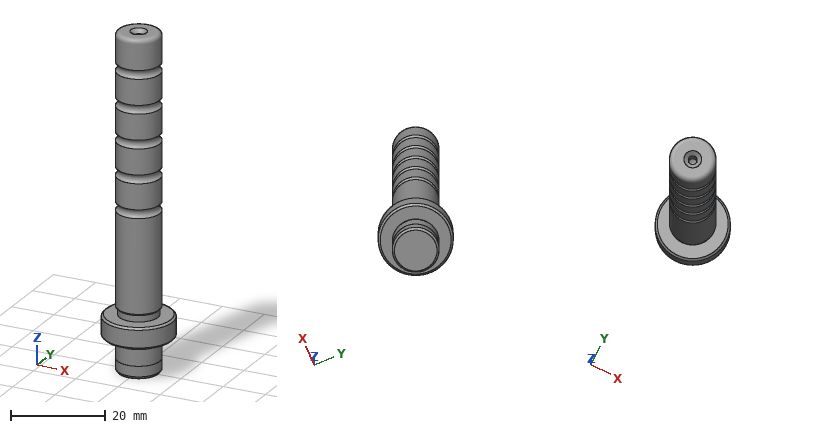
import cadquery as cq
import math

total_length = 78.0
shaft_radius = 5.0
shaft_top_fillet = 1.0

spigot_length = 8.0
spigot_end_chamfer = 0.5
spigot_end_chamfer_height = 0.6
spigot_tip_length = 3.05
spigot_tip_clearance = 0.015
collar_diameter = 16.0
collar_thickness = 5.0
collar_chamfer = 0.5
neck_radius = 4.5
lower_neck_height = 0.7
upper_neck_height = 1.5

groove_count = 5
lowest_groove_distance = 40.0
groove_pitch = lowest_groove_distance / groove_count
groove_width = 2.0
groove_depth = 0.6

hole_radius = 0.9
hole_depth = 3.9
countersink_radius = 1.9
drill_point_angle = 118.0

neck_taper = shaft_radius - neck_radius
collar_top = spigot_length + collar_thickness
shaft_start = collar_top + upper_neck_height


def revolve(profile):
    """Turn a closed (radius, Z) profile about the Z axis."""
    return profile.close().revolve(360, (0, 0, 0), (0, 1, 0))


def make_spigot():
    tip_radius = shaft_radius - spigot_tip_clearance
    neck_start = spigot_length - lower_neck_height
    return revolve(
        cq.Workplane("XZ")
        .lineTo(shaft_radius - spigot_end_chamfer, 0)
        .lineTo(tip_radius, spigot_end_chamfer_height)
        .lineTo(tip_radius, spigot_tip_length)
        .lineTo(shaft_radius, spigot_tip_length)
        .lineTo(shaft_radius, neck_start - neck_taper)
        .lineTo(neck_radius, neck_start)
        .lineTo(neck_radius, spigot_length)
        .lineTo(0, spigot_length)
    )


def make_collar():
    return (
        cq.Workplane("XY", origin=(0, 0, spigot_length))
        .circle(collar_diameter / 2)
        .extrude(collar_thickness)
        .edges()
        .chamfer(collar_chamfer)
    )


def make_shaft():
    neck = cq.Workplane("XY", origin=(0, 0, collar_top)).circle(neck_radius).extrude(upper_neck_height)
    shaft = (
        cq.Workplane("XY", origin=(0, 0, shaft_start))
        .circle(shaft_radius)
        .extrude(total_length - shaft_start)
        .faces("<Z")
        .chamfer(neck_taper)
        .faces(">Z")
        .edges()
        .fillet(shaft_top_fillet)
    )
    return neck.union(shaft)


def make_groove(center_z):
    """Ring with an arc-shaped bottom, used to cut one groove."""
    outside = shaft_radius + groove_depth
    bottom = center_z - groove_width / 2
    top = center_z + groove_width / 2
    return revolve(
        cq.Workplane("XZ")
        .moveTo(outside, bottom)
        .lineTo(shaft_radius, bottom)
        .threePointArc((shaft_radius - groove_depth, center_z), (shaft_radius, top))
        .lineTo(outside, top)
    )


def make_center_hole():
    """Countersunk blind hole with a drill point."""
    hole_bottom = total_length - hole_depth
    countersink_depth = countersink_radius - hole_radius
    point_depth = hole_radius / math.tan(math.radians(drill_point_angle / 2))
    return revolve(
        cq.Workplane("XZ")
        .moveTo(0, total_length)
        .lineTo(countersink_radius, total_length)
        .lineTo(hole_radius, total_length - countersink_depth)
        .lineTo(hole_radius, hole_bottom)
        .lineTo(0, hole_bottom - point_depth)
    )


result = make_spigot().union(make_collar()).union(make_shaft())
for index in range(1, groove_count + 1):
    result = result.cut(make_groove(total_length - index * groove_pitch))
result = result.cut(make_center_hole())